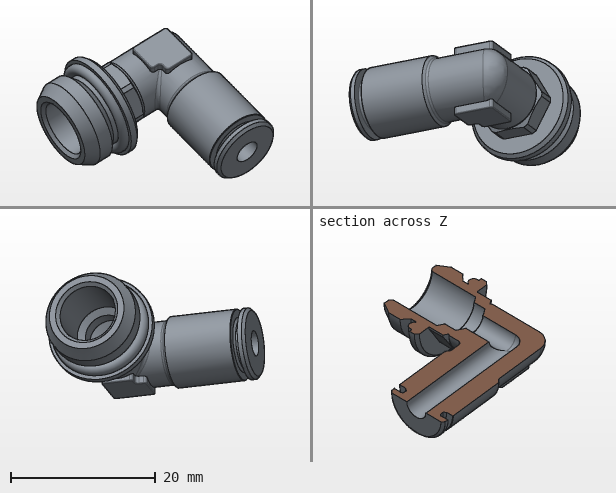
import cadquery as cq
import math


body_radius = 4.5
outer_bend_radius = 2.5
inner_bend_radius = 0.5
bend_fillet_height = 4.2
stem_end = 7.0
stem_chamfer = 0.2

sleeve_radius = 5
sleeve_chamfer = 0.5
sleeve_root = 5.25
sleeve_start = 6.75
sleeve_end = 16.78
sleeve_root_fillet = 0.5
sleeve_end_chamfer = 0.08
neck_shoulder_radius = 3.85
neck_start = 17.07
neck_radius = 3.45
neck_fillet = 0.3
ring_start = 17.78
ring_chamfer = 0.42
hose_end = 18.8

pad_height = 5
pad_near = 2.25
pad_far = 3.8
pad_notch = 2.25
pad_corner_fillet = 0.45
pad_edge_fillet = 0.13

hex_flats = 2 * body_radius
hex_turned_radius = 5
hex_chamfer_angle = 30

flange_radius = 7.5
flange_start = 10
flange_chamfer = 0.5
flange_end = 11.5
seal_radius = 7.0
seal_end = 12.55
seal_overlap = 0.03
undercut_radius = 10.8 / 2
undercut_end = 13.0
plug_radius = 6.5
plug_flank_end = 14.05
plug_taper_start = 16.17
plug_end = 18.02

stem_bore_radius = 4.0
stem_bore_chamfer = 0.5
stem_bore_end = 9.47
step_bore_radius = 3.0
step_bore_end = 6.85
drill_half_angle = 59
channel_radius = 3.5 / 2

tolerance = 0.003


def cylinder_x(radius, start, end):
    """Cylinder along +X between two X positions."""
    return cq.Workplane("YZ", origin=(start, 0, 0)).circle(radius).extrude(end - start)


def cylinder_y(radius, start, end):
    """Cylinder along -Y between two distances from the origin."""
    return cq.Workplane("XZ", origin=(0, -start, 0)).circle(radius).extrude(end - start)


def revolve_x(profile):
    """Revolve a closed (distance along +X, radius) polygon about X."""
    return cq.Workplane("XY").polyline(profile).close().revolve(360, (0, 0, 0), (1, 0, 0))


def revolve_y(profile):
    """Revolve a closed (distance along -Y, radius) polygon about Y."""
    points = [(radius, -distance) for distance, radius in profile]
    return cq.Workplane("XY").polyline(points).close().revolve(360, (0, 0, 0), (0, 1, 0))


def circles_at(solid, x, radius):
    """Circular edges about the X axis at a given X position and radius."""
    return [
        edge
        for edge in solid.edges("%CIRCLE").vals()
        if abs(edge.Center().x - x) < tolerance and abs(edge.radius() - radius) < tolerance
    ]


def mitred_elbow():
    """Two equal cylinders mitred at 45 degrees, with the bend rounded outside and inside."""
    side = 2 * sleeve_start
    stem = cylinder_y(body_radius, -body_radius, stem_end).faces("<Y").chamfer(stem_chamfer)
    hose = cylinder_x(body_radius, -body_radius, sleeve_start)
    mitre_wedge = (
        cq.Workplane("XY")
        .polyline([(-side, side), (side, -side), (side, side)])
        .close()
        .extrude(side, both=True)
    )
    elbow = stem.cut(mitre_wedge).union(hose.intersect(mitre_wedge))

    slab = cq.Workplane("XY").box(2 * side, 2 * side, 2 * bend_fillet_height)
    middle = elbow.intersect(slab)
    middle = middle.edges("%ELLIPSE").edges("<X").fillet(outer_bend_radius)
    middle = middle.edges("%ELLIPSE").edges(">X").fillet(inner_bend_radius)
    return middle.union(elbow.cut(slab))


def wrench_pads():
    """Square pad through the elbow, notched at the inside of the bend, showing on both sides."""
    pad = (
        cq.Workplane("XY")
        .polyline(
            [
                (-pad_near, pad_near),
                (pad_far, pad_near),
                (pad_far, -pad_notch),
                (pad_notch, -pad_notch),
                (pad_notch, -pad_far),
                (-pad_near, -pad_far),
            ]
        )
        .close()
        .extrude(pad_height, both=True)
    )
    pad = pad.edges("|Z").fillet(pad_corner_fillet)
    return pad.faces("<Z or >Z").edges().fillet(pad_edge_fillet)


def hose_sleeve():
    """Sleeve, neck and release ring at the hose end."""
    sleeve = revolve_x(
        [
            (sleeve_root, 0),
            (sleeve_root, body_radius),
            (sleeve_start, body_radius),
            (sleeve_start + sleeve_chamfer, sleeve_radius),
            (sleeve_end - sleeve_end_chamfer, sleeve_radius),
            (sleeve_end, sleeve_radius - sleeve_end_chamfer),
            (sleeve_end, neck_shoulder_radius),
            (neck_start, neck_radius),
            (ring_start, neck_radius),
            (ring_start, sleeve_radius),
            (hose_end - ring_chamfer, sleeve_radius),
            (hose_end, sleeve_radius - ring_chamfer),
            (hose_end, 0),
        ]
    )
    root_circle = circles_at(sleeve, sleeve_start, body_radius)
    sleeve = sleeve.newObject(root_circle).fillet(sleeve_root_fillet)
    neck_circle = circles_at(sleeve, ring_start, neck_radius)
    return sleeve.newObject(neck_circle).fillet(neck_fillet)


def hexagon():
    """Hexagon with its corners turned off and its elbow end chamfered."""
    prism = (
        cq.Workplane("XZ", origin=(0, -stem_end, 0))
        .transformed(rotate=(0, 0, 30))
        .polygon(6, hex_flats, circumscribed=True)
        .extrude(flange_start - stem_end)
    )
    top_radius = body_radius - stem_chamfer
    chamfer_drop = (hex_turned_radius - top_radius) * math.tan(math.radians(hex_chamfer_angle))
    turned = revolve_y(
        [
            (stem_end, 0),
            (stem_end, top_radius),
            (stem_end + chamfer_drop, hex_turned_radius),
            (flange_start, hex_turned_radius),
            (flange_start, 0),
        ]
    )
    return prism.intersect(turned)


def plug():
    """Flange, undercut and plug with tapered ends."""
    return revolve_y(
        [
            (flange_start, 0),
            (flange_start, flange_radius - flange_chamfer),
            (flange_start + flange_chamfer, flange_radius),
            (flange_end, flange_radius),
            (flange_end, undercut_radius),
            (undercut_end, undercut_radius),
            (plug_flank_end, plug_radius),
            (plug_taper_start, plug_radius),
            (plug_end, undercut_radius),
            (plug_end, 0),
        ]
    )


def seal_ring():
    """Round seal lying in the undercut and let into the flange."""
    section_radius = (seal_radius - undercut_radius) / 2 + seal_overlap
    return (
        cq.Workplane("YX")
        .moveTo(section_radius - seal_end, seal_radius - section_radius)
        .circle(section_radius)
        .revolve(360, (0, 0, 0), (1, 0, 0))
    )


def stem_bore():
    """Chamfered stem bore and the narrower step, each ending in a drill-point cone."""

    def cone_length(wide_radius, narrow_radius):
        return (wide_radius - narrow_radius) / math.tan(math.radians(drill_half_angle))

    return revolve_y(
        [
            (plug_end, 0),
            (plug_end, stem_bore_radius + stem_bore_chamfer),
            (plug_end - stem_bore_chamfer, stem_bore_radius),
            (stem_bore_end, stem_bore_radius),
            (stem_bore_end - cone_length(stem_bore_radius, step_bore_radius), step_bore_radius),
            (step_bore_end, step_bore_radius),
            (step_bore_end - cone_length(step_bore_radius, channel_radius), channel_radius),
            (0, channel_radius),
            (0, 0),
        ]
    )


def hose_channel():
    """Channel from the bend out through the hose end, with a rounded inner end."""
    return cylinder_x(channel_radius, 0, hose_end).union(cq.Workplane("XY").sphere(channel_radius))


result = (
    mitred_elbow()
    .union(wrench_pads())
    .union(hose_sleeve())
    .union(hexagon())
    .union(plug())
    .union(seal_ring())
    .cut(stem_bore())
    .cut(hose_channel())
)